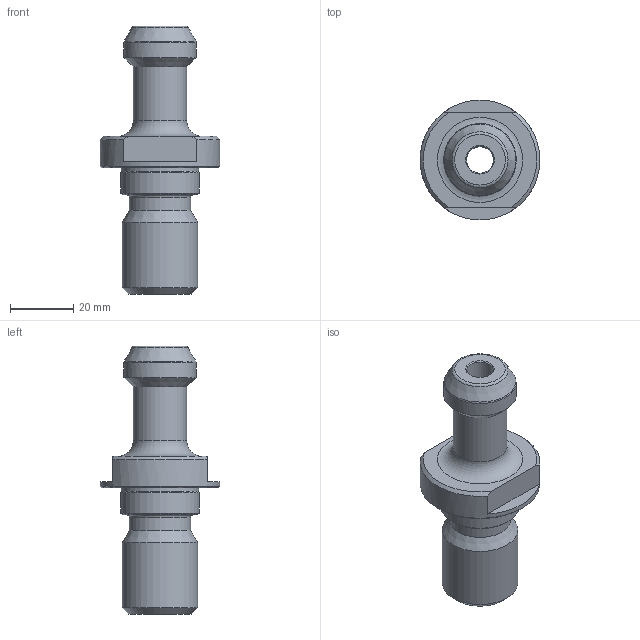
import cadquery as cq
import math


HEIGHT_ABOVE_SEAT = 45.0
LENGTH_BELOW_SEAT = 40.0

HEAD_RADIUS = 23.0 / 2
HEAD_TAPER_HEIGHT = 5.0
HEAD_TAPER_ANGLE = 30.0
HEAD_BAND_HEIGHT = 5.0
HEAD_EDGE_RADIUS = 1.0

NECK_RADIUS = 17.0 / 2
NECK_FILLET = 5.0

FLANGE_RADIUS = 38.0 / 2
FLANGE_THICKNESS = 10.0
FLANGE_TOP_CHAMFER = 1.0
FLANGE_BOTTOM_CHAMFER = 0.5
ACROSS_FLATS = 30.0
FLAT_FLOOR = 2.0

RELIEF_RADIUS = 24.5 / 2
RELIEF_WIDTH = 1.0
COLLAR_RADIUS = 25.0 / 2
COLLAR_TOP_TAPER = 0.5
COLLAR_BOTTOM = -8.5
COLLAR_BOTTOM_CHAMFER = 0.5

UNDERCUT_RADIUS = 19.5 / 2
UNDERCUT_FILLET = 0.8
UNDERCUT_END = -13.5
SHANK_RADIUS = 24.0 / 2
SHANK_TAPER_ANGLE = 30.0
SHANK_CHAMFER = 2.0

BORE_RADIUS = 8.5 / 2
BORE_CHAMFER = 0.3


def point_on_arc(center_r, center_z, radius, degrees):
    """Point at the given angle on a fillet circle of the half profile."""
    angle = math.radians(degrees)
    return (center_r + radius * math.cos(angle), center_z + radius * math.sin(angle))


def make_head():
    """Gripping head: tapered nose, cylindrical band and 45 degree underside."""
    top = HEIGHT_ABOVE_SEAT
    band_top = top - HEAD_TAPER_HEIGHT
    band_bottom = band_top - HEAD_BAND_HEIGHT
    underside_bottom = band_bottom - (HEAD_RADIUS - NECK_RADIUS)
    top_radius = HEAD_RADIUS - HEAD_TAPER_HEIGHT * math.tan(math.radians(HEAD_TAPER_ANGLE))
    profile = (
        cq.Workplane("XZ")
        .moveTo(0, top)
        .lineTo(top_radius, top)
        .lineTo(HEAD_RADIUS, band_top)
        .lineTo(HEAD_RADIUS, band_bottom)
        .lineTo(NECK_RADIUS, underside_bottom)
        .lineTo(0, underside_bottom)
        .close()
    )
    head = profile.revolve(360, (0, 0), (0, 1))
    return head.edges("%CIRCLE").edges(">>Z[-1] or >>Z[-2]").fillet(HEAD_EDGE_RADIUS)


def make_neck():
    """Neck with a concave fillet running out on the flange top."""
    foot_radius = NECK_RADIUS + NECK_FILLET
    fillet_top = FLANGE_THICKNESS + NECK_FILLET
    neck_top = HEIGHT_ABOVE_SEAT - HEAD_TAPER_HEIGHT - HEAD_BAND_HEIGHT
    profile = (
        cq.Workplane("XZ")
        .moveTo(0, neck_top)
        .lineTo(NECK_RADIUS, neck_top)
        .lineTo(NECK_RADIUS, fillet_top)
        .threePointArc(
            point_on_arc(foot_radius, fillet_top, NECK_FILLET, 225),
            (foot_radius, FLANGE_THICKNESS),
        )
        .lineTo(0, FLANGE_THICKNESS)
        .close()
    )
    return profile.revolve(360, (0, 0), (0, 1))


def make_flange():
    """Chamfered round flange with flats on its +Y and -Y sides."""
    flange = (
        cq.Workplane("XY")
        .circle(FLANGE_RADIUS)
        .extrude(FLANGE_THICKNESS)
        .faces(">Z")
        .chamfer(FLANGE_TOP_CHAMFER)
        .faces("<Z")
        .chamfer(FLANGE_BOTTOM_CHAMFER)
    )
    for side in (-1, 1):
        waste = (
            cq.Workplane("XY", origin=(0, side * (ACROSS_FLATS / 2 + FLANGE_RADIUS), FLAT_FLOOR))
            .rect(2 * FLANGE_RADIUS, 2 * FLANGE_RADIUS)
            .extrude(FLANGE_THICKNESS)
        )
        flange = flange.cut(waste)
    return flange


def make_shank():
    """Relief, pilot collar, undercut and shank below the seating face."""
    collar_top = -RELIEF_WIDTH
    fillet_end = COLLAR_BOTTOM - UNDERCUT_FILLET
    fillet_radius = UNDERCUT_RADIUS + UNDERCUT_FILLET
    taper_length = (SHANK_RADIUS - UNDERCUT_RADIUS) / math.tan(math.radians(SHANK_TAPER_ANGLE))
    bottom = -LENGTH_BELOW_SEAT
    profile = (
        cq.Workplane("XZ")
        .moveTo(0, 0)
        .lineTo(RELIEF_RADIUS, 0)
        .lineTo(RELIEF_RADIUS, collar_top)
        .lineTo(COLLAR_RADIUS, collar_top - COLLAR_TOP_TAPER)
        .lineTo(COLLAR_RADIUS, COLLAR_BOTTOM + COLLAR_BOTTOM_CHAMFER)
        .lineTo(COLLAR_RADIUS - COLLAR_BOTTOM_CHAMFER, COLLAR_BOTTOM)
        .lineTo(fillet_radius, COLLAR_BOTTOM)
        .threePointArc(
            point_on_arc(fillet_radius, fillet_end, UNDERCUT_FILLET, 135),
            (UNDERCUT_RADIUS, fillet_end),
        )
        .lineTo(UNDERCUT_RADIUS, UNDERCUT_END)
        .lineTo(SHANK_RADIUS, UNDERCUT_END - taper_length)
        .lineTo(SHANK_RADIUS, bottom + SHANK_CHAMFER)
        .lineTo(SHANK_RADIUS - SHANK_CHAMFER, bottom)
        .lineTo(0, bottom)
        .close()
    )
    return profile.revolve(360, (0, 0), (0, 1))


def make_bore():
    """Through bore with a small chamfer at the head end."""
    bore = (
        cq.Workplane("XY", origin=(0, 0, -LENGTH_BELOW_SEAT))
        .circle(BORE_RADIUS)
        .extrude(LENGTH_BELOW_SEAT + HEIGHT_ABOVE_SEAT)
    )
    mouth = cq.Workplane("XY").add(
        cq.Solid.makeCone(
            BORE_RADIUS,
            BORE_RADIUS + BORE_CHAMFER,
            BORE_CHAMFER,
            pnt=cq.Vector(0, 0, HEIGHT_ABOVE_SEAT - BORE_CHAMFER),
        )
    )
    return bore.union(mouth)


body = make_flange().union(make_shank()).union(make_neck()).union(make_head())
result = body.cut(make_bore())